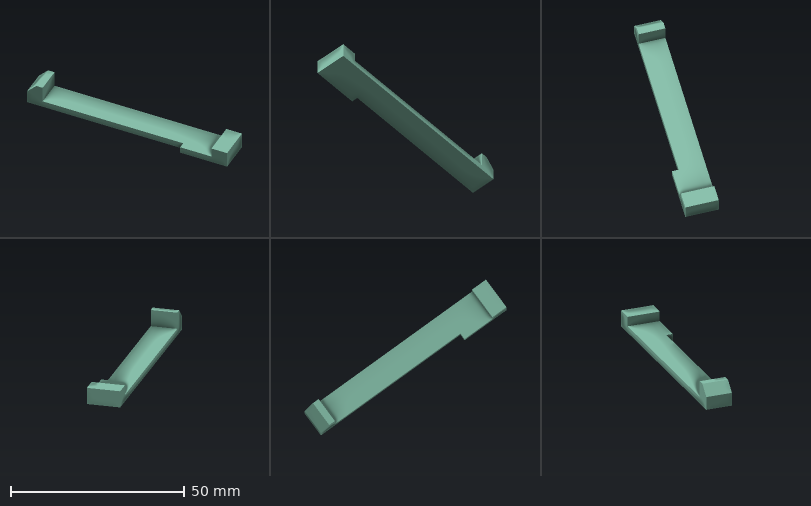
import cadquery as cq

length = 65.0
full_width = 10.0
hook_height = 7.0

strip_thickness = 2.0
strip_width = 8.0

end_length = 5.0
stop_height = 5.0
hook_chamfer = 3.0

foot_length = 15.0

profile = [
    (0, 0),
    (length, 0),
    (length, stop_height),
    (length - end_length, stop_height),
    (length - end_length, strip_thickness),
    (end_length, strip_thickness),
    (end_length, hook_height),
    (hook_chamfer, hook_height),
    (0, hook_height - hook_chamfer),
]
body = cq.Workplane("XZ").polyline(profile).close().extrude(-full_width)

side_relief = cq.Workplane("XY").box(
    length - foot_length, full_width - strip_width, hook_height, centered=False
)

result = body.cut(side_relief)